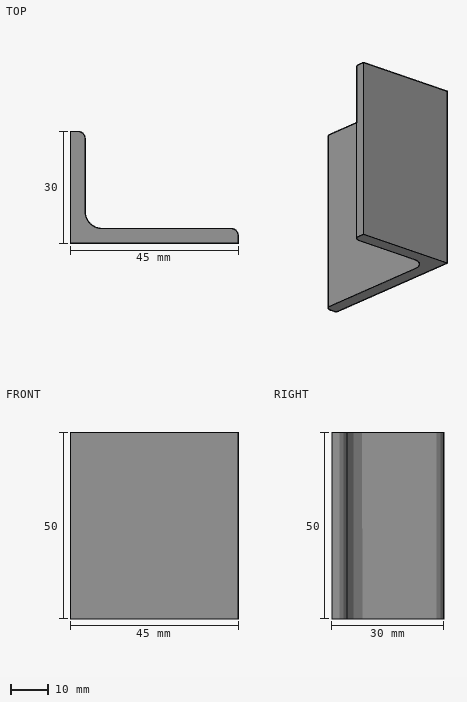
import cadquery as cq

long_leg = 45.0
short_leg = 30.0
thickness = 4.0
length = 50.0
root_radius = 4.5
toe_radius = 2.0


def angle_blank():
    """Sharp-cornered L section with its heel on the Z axis."""
    outline = [
        (0, 0),
        (long_leg, 0),
        (long_leg, thickness),
        (thickness, thickness),
        (thickness, short_leg),
        (0, short_leg),
    ]
    return cq.Workplane("XY").polyline(outline).close().extrude(length)


def round_edge(body, x, y, radius):
    """Fillet the vertical edge that passes through (x, y)."""
    edge = cq.selectors.NearestToPointSelector((x, y, length / 2))
    return body.edges("|Z").edges(edge).fillet(radius)


result = angle_blank()
result = round_edge(result, thickness, thickness, root_radius)
result = round_edge(result, long_leg, thickness, toe_radius)
result = round_edge(result, thickness, short_leg, toe_radius)